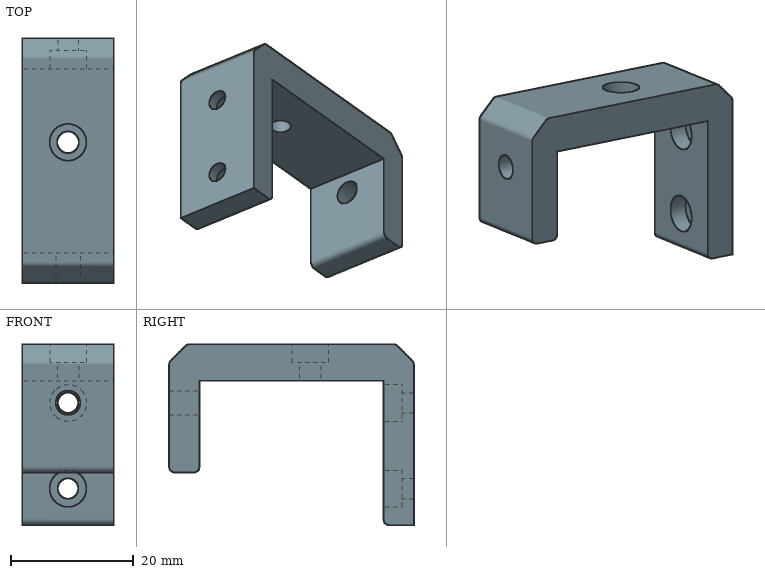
import cadquery as cq

WIDTH = 15.0
SPAN = 40.0
HEIGHT = 29.59

BRIDGE_THICKNESS = 6.0
LEG_THICKNESS = 5.0
SHORT_LEG_LENGTH = 21.0
TOP_CHAMFER = 3.0
EDGE_RADIUS = 1.0

UPPER_HOLE_HEIGHT = 20.0
FOOT_HOLE_HEIGHT = 6.0
FRONT_HOLE_DIAMETER = 4.0
REAR_HOLE_DIAMETER = 3.3
COUNTERBORE_DIAMETER = 6.0
COUNTERBORE_DEPTH = 3.0
BRIDGE_HOLE_FROM_REAR = 17.0
BRIDGE_HOLE_DIAMETER = 3.5

short_foot_z = HEIGHT - SHORT_LEG_LENGTH
bridge_underside_z = HEIGHT - BRIDGE_THICKNESS
rear_inner_y = SPAN - LEG_THICKNESS
bridge_hole_y = SPAN - BRIDGE_HOLE_FROM_REAR


def cylinder_along_y(diameter, start_y, length, z):
    """Cylinder on the centre plane that starts at start_y and runs towards +Y."""
    return cq.Workplane(
        cq.Solid.makeCylinder(diameter / 2, length, cq.Vector(0, start_y, z), cq.Vector(0, 1, 0))
    )


def cylinder_down(diameter, length):
    """Cylinder that runs down from the top of the bridge at the bridge hole."""
    return cq.Workplane(
        cq.Solid.makeCylinder(
            diameter / 2, length, cq.Vector(0, bridge_hole_y, HEIGHT), cq.Vector(0, 0, -1)
        )
    )


def edge_at(body, y, z):
    """The edge across the width that passes through (y, z)."""
    return body.edges(cq.selectors.NearestToPointSelector((0, y, z)))


def make_bracket():
    """C-shaped bracket with a short front leg, a long rear leg and eased edges."""
    profile = [
        (0, short_foot_z),
        (LEG_THICKNESS, short_foot_z),
        (LEG_THICKNESS, bridge_underside_z),
        (rear_inner_y, bridge_underside_z),
        (rear_inner_y, 0),
        (SPAN, 0),
        (SPAN, HEIGHT - TOP_CHAMFER),
        (SPAN - TOP_CHAMFER, HEIGHT),
        (TOP_CHAMFER, HEIGHT),
        (0, HEIGHT - TOP_CHAMFER),
    ]
    body = cq.Workplane("YZ").polyline(profile).close().extrude(WIDTH / 2, both=True)
    sharp_corners = [
        (LEG_THICKNESS, bridge_underside_z),
        (rear_inner_y, bridge_underside_z),
        (SPAN, 0),
    ]
    rounded_corners = [corner for corner in profile if corner not in sharp_corners]
    rounded_edges = [edge_at(body, y, z).val() for y, z in rounded_corners]
    return body.newObject(rounded_edges).fillet(EDGE_RADIUS)


def cut_front_hole(body):
    """Plain access hole through the front leg, in line with the upper rear hole."""
    return body.cut(cylinder_along_y(FRONT_HOLE_DIAMETER, 0, LEG_THICKNESS, UPPER_HOLE_HEIGHT))


def cut_rear_holes(body):
    """Two holes through the rear leg, counterbored from the inside of the bracket."""
    for z in (UPPER_HOLE_HEIGHT, FOOT_HOLE_HEIGHT):
        bore = cylinder_along_y(REAR_HOLE_DIAMETER, rear_inner_y, LEG_THICKNESS, z)
        counterbore = cylinder_along_y(COUNTERBORE_DIAMETER, rear_inner_y, COUNTERBORE_DEPTH, z)
        body = body.cut(bore).cut(counterbore)
    return body


def cut_bridge_hole(body):
    """Hole down through the bridge, counterbored from the top."""
    bore = cylinder_down(BRIDGE_HOLE_DIAMETER, BRIDGE_THICKNESS)
    counterbore = cylinder_down(COUNTERBORE_DIAMETER, COUNTERBORE_DEPTH)
    return body.cut(bore).cut(counterbore)


bracket = make_bracket()
bracket = cut_front_hole(bracket)
bracket = cut_rear_holes(bracket)
result = cut_bridge_hole(bracket)